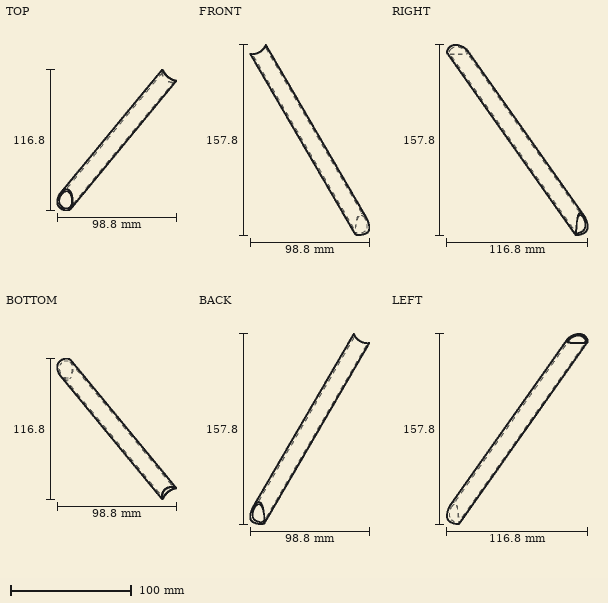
import cadquery as cq

tube_diameter = 15.0
wall = 1.4
tube_radius = tube_diameter / 2
bore_radius = tube_radius - wall
bore_half_length = 126.3
tube_centre = cq.Vector(0.8, 1.9, 0)
tube_direction = cq.Vector(58.2, 70.6, -100)

upper_saddle_radius = 12.2
upper_saddle_height = 83.3

lower_saddle_radius = 9.0
lower_saddle_centre = cq.Vector(46.0, 57.0, -79)
lower_saddle_direction = cq.Vector(0.13, 0.14, 1)

bar_half_length = 47.4


def rod(centre, direction, half_length, radius):
    """Solid cylinder centred on a point and running along a direction."""
    axis = direction.normalized()
    start = centre - axis * half_length
    return cq.Workplane(cq.Solid.makeCylinder(radius, 2 * half_length, start, axis))


def point_on_tube_axis(height):
    """Point where the tube axis reaches the given Z."""
    steps = (height - tube_centre.z) / tube_direction.z
    return tube_centre + tube_direction * steps


def tube_between(upper_point, lower_point):
    """Open tube that stops on the axes of the two bars."""
    axis = lower_point - upper_point
    middle = (upper_point + lower_point) * 0.5
    outer = rod(middle, axis, axis.Length / 2, tube_radius)
    bore = rod(middle, axis, bore_half_length, bore_radius)
    return outer.cut(bore)


upper_node = point_on_tube_axis(upper_saddle_height)
lower_node = point_on_tube_axis(lower_saddle_centre.z)
upper_bar = rod(upper_node, cq.Vector(0, 1, 0), bar_half_length, upper_saddle_radius)
lower_bar = rod(lower_saddle_centre, lower_saddle_direction, bar_half_length, lower_saddle_radius)

result = tube_between(upper_node, lower_node).cut(upper_bar).cut(lower_bar)